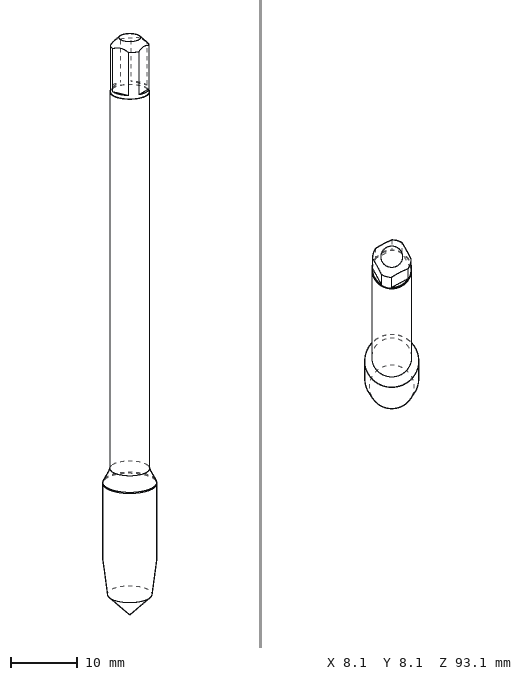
import cadquery as cq

total_length = 93.1
point_height = 3.35
lead_end = 8.9
head_end = 21.2
shoulder_start = 21.4
shoulder_end = 23.1
neck_end = 23.65
shank_end = 84.4
square_start = 84.9

head_diameter = 8.1
shank_diameter = 6.0
neck_base_diameter = 6.3
drive_diameter = 5.8
lead_diameter = 2 * point_height

drive_flats = 5.0
tip_diameter = 3.3
tip_chamfer_height = (drive_diameter - tip_diameter) / 2


def revolve_profile(stations):
    """Revolve (diameter, height) stations about Z, closed along the axis."""
    outline = [(diameter / 2, height) for diameter, height in stations]
    bottom = (0, stations[0][1])
    top = (0, stations[-1][1])
    if outline[0] != bottom:
        outline = [bottom] + outline
    outline = outline + [top]
    return cq.Workplane("XZ").polyline(outline).close().revolve(360, (0, 0), (0, 1))


def make_cutting_head():
    """Cylindrical head with a tapered lead and a conical point."""
    return revolve_profile([
        (0, 0),
        (lead_diameter, point_height),
        (head_diameter, lead_end),
        (head_diameter, head_end),
    ])


def make_shank():
    """Round shank with a shoulder over the head and a square drive on top."""
    blank = revolve_profile([
        (head_diameter, head_end),
        (head_diameter, shoulder_start),
        (neck_base_diameter, shoulder_end),
        (shank_diameter, neck_end),
        (shank_diameter, shank_end),
        (drive_diameter, shank_end),
        (drive_diameter, total_length - tip_chamfer_height),
        (tip_diameter, total_length),
    ])
    drive_length = total_length - square_start
    drive_plane = cq.Workplane("XY", origin=(0, 0, square_start))
    square = drive_plane.rect(drive_flats, drive_flats).extrude(drive_length)
    surround = (
        cq.Workplane("XY", origin=(0, 0, square_start))
        .circle(head_diameter / 2)
        .extrude(drive_length)
        .cut(square)
    )
    return blank.cut(surround)


cutting_head = make_cutting_head()
shank = make_shank()
result = cq.Compound.makeCompound([cutting_head.val(), shank.val()])